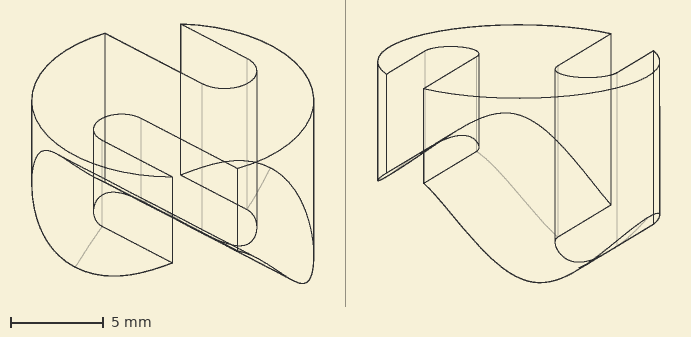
import cadquery as cq

diameter = 15.2
radius = diameter / 2
height = 10.32

wide_slot_width = 3.48
wide_slot_y = 4.03
narrow_slot_width = 3.02
narrow_slot_y = -3.98

crest_y = -3.7
crest_depth = 4.91
trough_y = 4.1
middle_y = 0.15
middle_depth = 7.55
back_edge_depth = 7.87
front_edge_depth = 7.16
front_slope = 0.82
middle_slope = -1.0
back_slope = 1.15
wave_points = [
    (-radius, -front_edge_depth),
    (crest_y, -crest_depth),
    (middle_y, -middle_depth),
    (trough_y, -height),
    (radius, -back_edge_depth),
]
wave_tangents = [(1, front_slope), (1, 0), (1, middle_slope), (1, 0), (1, back_slope)]


def slot_cutter(width, center_y, direction):
    """Full-height slot with its round end at X = 0; direction is the sign of X at its open end."""
    round_end = cq.Workplane("XY").center(0, center_y).circle(width / 2).extrude(-height)
    channel = (
        cq.Workplane("XY")
        .center(direction * radius / 2, center_y)
        .rect(radius, width)
        .extrude(-height)
    )
    return round_end.union(channel)


wave_block = (
    cq.Workplane("YZ")
    .moveTo(-radius, 0)
    .lineTo(*wave_points[0])
    .spline(wave_points[1:], tangents=wave_tangents, includeCurrent=True)
    .lineTo(radius, 0)
    .close()
    .extrude(radius, both=True)
)
body = cq.Workplane("XY").circle(radius).extrude(-height).intersect(wave_block)

result = body.cut(slot_cutter(wide_slot_width, wide_slot_y, -1))
result = result.cut(slot_cutter(narrow_slot_width, narrow_slot_y, 1))